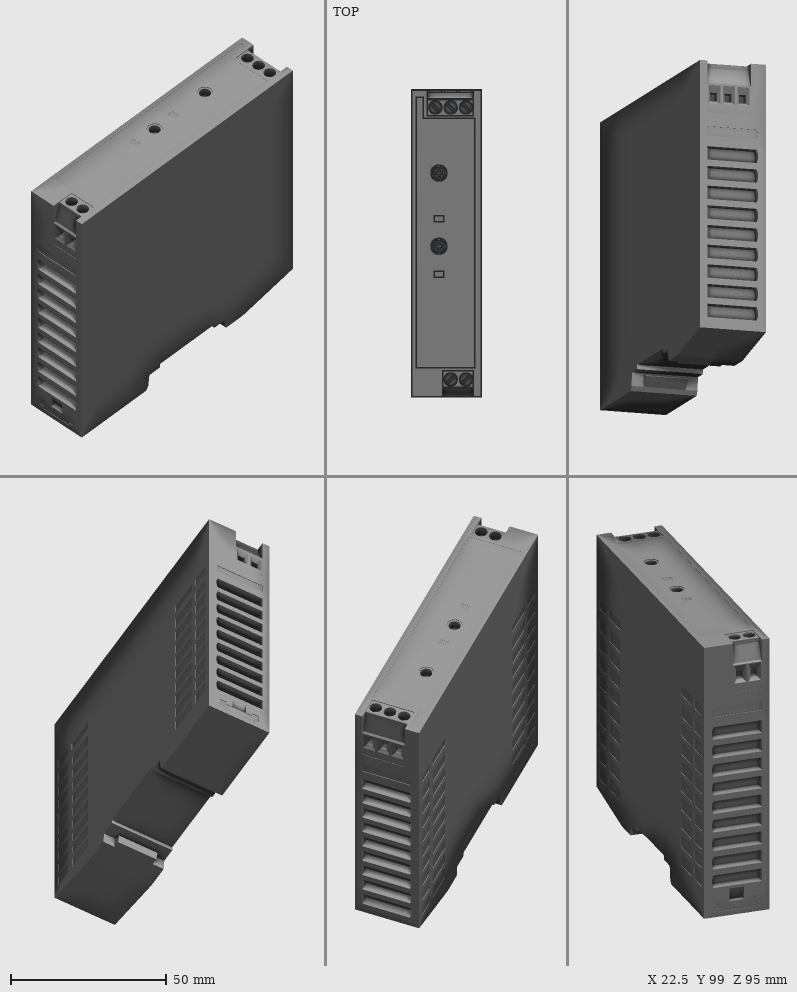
import cadquery as cq

WIDTH = 22.5
LENGTH = 99.0
HEIGHT = 95.0

REAR_CORNER_Z = 6.7
REAR_FOOT_Z = 2.1
REAR_FOOT_START_Y = 75.6
REAR_LIP_FOOT_Y = 67.7
REAR_LIP_Y = 67.3
RAIL_Z = 5.9
RAIL_TOP_Z = 7.4
RAIL_TOP_REAR_Y = 62.2
RAIL_TOP_FRONT_Y = 36.7
FRONT_LIP_Y = 31.7
FRONT_LIP_FOOT_Y = 31.2
FRONT_LIP_FOOT_Z = 1.5
FRONT_FOOT_Y = 30.3

SLIDER_WIDTH = 14.3
SLIDER_BODY_WIDTH = 11.2
SLIDER_EAR_WIDTH = 2.4
SLIDER_RECESS = 0.2
SLIDER_BOTTOM_Z = 1.7
SLIDER_EAR_BOTTOM_Z = 2.8
SLIDER_TOP_Z = 4.8
SLIDER_EAR_TOP_Z = 5.9
RELEASE_WIDTH = 5.1
RELEASE_TOP_Z = 9.3
RELEASE_DEPTH = 2.0
HOOK_TIP_Z = 4.5
HOOK_ROOT_Z = 5.5

SLOT_LEFT_X = 3.2
SLOT_RIGHT_X = 19.9
SLOT_BULGE = 0.5
SLOT_HEIGHT = 4.4
SLOT_DEPTH = 3.2
SLOT_PITCH = 6.5
SLOT_COUNT = 9
LOWEST_SLOT_Z = 10.3
BLIND_SLOT_Z = 70.2
BLIND_SLOT_HEIGHT = 3.1
BLIND_DEPTH = 0.2
SIDE_OUTER_START = 2.6
SIDE_OUTER_END = 8.75
SIDE_INNER_START = 11.4
SIDE_INNER_END = 21.5
BLIND_INNER_START = 11.0

POLE_PITCH = 4.95
TERMINAL_RIGHT_X = 19.9
POLE_MARGIN = 2.35
FRONT_POLES = 2
REAR_POLES = 3
TERMINAL_DEPTH = 8.4
TERMINAL_DROP = 17.2
BLOCK_DROP = 0.3
BLOCK_TOP_DEPTH = 3.1
BLOCK_SHOULDER_DEPTH = 2.8
BLOCK_CHAMFER_DROP = 0.4
BLOCK_SHOULDER_DROP = 1.9
BLOCK_SLOPE_DEPTH = 0.8
BLOCK_LEDGE_DROP = 7.3
BLOCK_FACE_DROP = 7.7
BLOCK_FACE_DEPTH = 0.1
SCREW_DEPTH_FROM_END = 5.65
SCREW_DIAMETER = 4.1
SCREW_DROP = 4.0
SCREW_SLOT_WIDTH = 0.8
SCREW_SLOT_DEPTH = 0.6
SCREW_SLOT_ANGLE = 45
WIRE_MOUTH_WIDTH = 4.2
WIRE_MOUTH_TOP_DROP = 8.0
WIRE_MOUTH_BOTTOM_DROP = 14.1
WIRE_THROAT_WIDTH = 2.3
WIRE_THROAT_TOP_DROP = 10.3
WIRE_THROAT_BOTTOM_DROP = 13.1
WIRE_FUNNEL_DEPTH = 1.0
WIRE_THROAT_DEPTH = 2.5

LABEL_LEFT_X = 1.5
LABEL_RIGHT_X = 20.3
LABEL_FRONT_Y = 9.4
LABEL_REAR_Y = 96.7
LABEL_NOTCH_X = 3.8
LABEL_NOTCH_Y = 89.8
LABEL_DEPTH = 0.1
CONTROL_X = 8.8
INDICATOR_LENGTH = 3.1
INDICATOR_WIDTH = 2.0
INDICATOR_DEPTH = 0.1
INDICATOR_YS = (39.6, 57.5)
TRIMMER_YS = (48.6, 72.2)
TRIMMER_RIM_DIAMETER = 5.1
TRIMMER_RIM_DEPTH = 0.4
TRIMMER_BORE_DIAMETER = 3.9
TRIMMER_BORE_DEPTH = 3.5
TRIMMER_CROSS_LENGTH = 2.3
TRIMMER_CROSS_WIDTH = 0.9
TRIMMER_CROSS_DEPTH = 0.6


def block(x0, x1, y0, y1, z0, z1):
    """Box between two opposite corners."""
    return cq.Workplane("XY").box(x1 - x0, y1 - y0, z1 - z0, centered=False).translate((x0, y0, z0))


def side_profile(points, x0, x1):
    """Prism along X with an outline of (y, z) points."""
    return cq.Workplane("YZ").polyline(points).close().extrude(x1 - x0).translate((x0, 0, 0))


def at_rear(shape):
    """Mirror a front end feature to the rear end."""
    return shape.mirror("XZ").translate((0, LENGTH, 0))


def make_housing():
    outline = [
        (0, 0),
        (0, HEIGHT),
        (LENGTH, HEIGHT),
        (LENGTH, REAR_CORNER_Z),
        (REAR_FOOT_START_Y, REAR_FOOT_Z),
        (REAR_LIP_FOOT_Y, REAR_FOOT_Z),
        (REAR_LIP_Y, RAIL_Z),
        (RAIL_TOP_REAR_Y, RAIL_Z),
        (RAIL_TOP_REAR_Y, RAIL_TOP_Z),
        (RAIL_TOP_FRONT_Y, RAIL_TOP_Z),
        (RAIL_TOP_FRONT_Y, RAIL_Z),
        (FRONT_LIP_Y, RAIL_Z),
        (FRONT_LIP_FOOT_Y, FRONT_LIP_FOOT_Z),
        (FRONT_FOOT_Y, 0),
    ]
    return side_profile(outline, 0, WIDTH)


def make_hooks():
    """Two hooks, as wide as the slider, that reach under the rail flanges."""
    x0 = (WIDTH - SLIDER_WIDTH) / 2
    x1 = x0 + SLIDER_WIDTH
    rear_tip_y = 64.6
    rear_toe_y = 65.4
    rear_root_z = 5.2
    rear = side_profile(
        [
            (REAR_LIP_Y, rear_root_z),
            (rear_tip_y, HOOK_TIP_Z),
            (rear_toe_y, REAR_FOOT_Z),
            (REAR_FOOT_START_Y, REAR_FOOT_Z),
        ],
        x0,
        x1,
    )
    front_tip_y = 34.0
    front = side_profile(
        [
            (FRONT_LIP_Y, HOOK_ROOT_Z),
            (front_tip_y, HOOK_TIP_Z),
            (FRONT_LIP_FOOT_Y, FRONT_LIP_FOOT_Z),
            (FRONT_FOOT_Y, FRONT_LIP_FOOT_Z),
        ],
        x0,
        x1,
    )
    return rear.union(front)


def make_slider_recess():
    """Shallow recess around the slider and the wedge-shaped release pocket above it."""
    middle = WIDTH / 2

    def centred(width, depth, z0, z1):
        return block(middle - width / 2, middle + width / 2, 0, depth, z0, z1)

    recess = centred(SLIDER_BODY_WIDTH, SLIDER_RECESS, SLIDER_BOTTOM_Z, SLIDER_TOP_Z)
    recess = recess.union(centred(SLIDER_WIDTH, SLIDER_RECESS, SLIDER_EAR_BOTTOM_Z, SLIDER_EAR_TOP_Z))
    gap_width = SLIDER_WIDTH - 2 * SLIDER_EAR_WIDTH
    recess = recess.cut(centred(gap_width, SLIDER_RECESS, SLIDER_TOP_Z, SLIDER_EAR_TOP_Z))
    pocket = side_profile(
        [(0, RELEASE_TOP_Z), (0, SLIDER_TOP_Z), (RELEASE_DEPTH, SLIDER_TOP_Z)],
        middle - RELEASE_WIDTH / 2,
        middle + RELEASE_WIDTH / 2,
    )
    return recess.union(pocket)


def make_end_slot(z0, height, depth):
    """Slot in the front wall whose left end is bowed outwards."""
    return (
        cq.Workplane("XZ")
        .moveTo(SLOT_LEFT_X, z0)
        .lineTo(SLOT_RIGHT_X, z0)
        .lineTo(SLOT_RIGHT_X, z0 + height)
        .lineTo(SLOT_LEFT_X, z0 + height)
        .threePointArc((SLOT_LEFT_X - SLOT_BULGE, z0 + height / 2), (SLOT_LEFT_X, z0))
        .close()
        .extrude(-depth)
    )


def make_front_vents():
    """End wall slots and the blind side panels next to the front end."""
    vents = make_end_slot(BLIND_SLOT_Z, BLIND_SLOT_HEIGHT, BLIND_DEPTH)
    rows = [(BLIND_SLOT_Z, BLIND_SLOT_HEIGHT, BLIND_INNER_START)]
    for index in range(SLOT_COUNT):
        z0 = LOWEST_SLOT_Z + index * SLOT_PITCH
        vents = vents.union(make_end_slot(z0, SLOT_HEIGHT, SLOT_DEPTH))
        rows.append((z0, SLOT_HEIGHT, SIDE_INNER_START))
    for z0, height, inner_start in rows:
        z1 = z0 + height
        vents = vents.union(block(0, BLIND_DEPTH, SIDE_OUTER_START, SIDE_OUTER_END, z0, z1))
        vents = vents.union(block(0, BLIND_DEPTH, inner_start, SIDE_INNER_END, z0, z1))
    return vents


def make_wire_funnel(x):
    """Wire entry that narrows from its mouth to a rectangular throat."""
    mouth_height = WIRE_MOUTH_BOTTOM_DROP - WIRE_MOUTH_TOP_DROP
    throat_height = WIRE_THROAT_BOTTOM_DROP - WIRE_THROAT_TOP_DROP
    mouth_z = HEIGHT - (WIRE_MOUTH_TOP_DROP + WIRE_MOUTH_BOTTOM_DROP) / 2
    throat_z = HEIGHT - (WIRE_THROAT_TOP_DROP + WIRE_THROAT_BOTTOM_DROP) / 2
    funnel = (
        cq.Workplane("XZ", origin=(x, BLOCK_FACE_DEPTH, mouth_z))
        .rect(WIRE_MOUTH_WIDTH, mouth_height)
        .workplane(offset=-WIRE_FUNNEL_DEPTH)
        .center(0, throat_z - mouth_z)
        .rect(WIRE_THROAT_WIDTH, throat_height)
        .loft(ruled=True)
    )
    throat = (
        cq.Workplane("XZ", origin=(x, BLOCK_FACE_DEPTH + WIRE_FUNNEL_DEPTH, throat_z))
        .rect(WIRE_THROAT_WIDTH, throat_height)
        .extrude(-WIRE_THROAT_DEPTH)
    )
    return funnel.union(throat)


def make_screw_well(x):
    """Round well with a slotted screw head at its bottom."""
    head_z = HEIGHT - SCREW_DROP
    centre = (x, SCREW_DEPTH_FROM_END, head_z)
    well = cq.Workplane("XY", origin=centre).circle(SCREW_DIAMETER / 2).extrude(SCREW_DROP)
    slot = (
        cq.Workplane("XY")
        .box(SCREW_DIAMETER, SCREW_SLOT_WIDTH, SCREW_SLOT_DEPTH, centered=(True, True, False))
        .rotate((0, 0, 0), (0, 0, 1), SCREW_SLOT_ANGLE)
        .translate((x, SCREW_DEPTH_FROM_END, head_z - SCREW_SLOT_DEPTH))
    )
    disc = cq.Workplane("XY", origin=centre).circle(SCREW_DIAMETER / 2).extrude(-SCREW_SLOT_DEPTH)
    return well.union(slot.intersect(disc))


def make_terminal_cut(poles):
    """Everything removed around and inside a front terminal block."""
    x0 = TERMINAL_RIGHT_X - poles * POLE_PITCH
    cut = side_profile(
        [
            (0, HEIGHT),
            (TERMINAL_DEPTH, HEIGHT),
            (TERMINAL_DEPTH, HEIGHT - BLOCK_DROP),
            (BLOCK_TOP_DEPTH, HEIGHT - BLOCK_DROP),
            (BLOCK_SHOULDER_DEPTH, HEIGHT - BLOCK_CHAMFER_DROP),
            (BLOCK_SHOULDER_DEPTH, HEIGHT - BLOCK_SHOULDER_DROP),
            (BLOCK_SLOPE_DEPTH, HEIGHT - BLOCK_LEDGE_DROP),
            (BLOCK_FACE_DEPTH, HEIGHT - BLOCK_FACE_DROP),
            (BLOCK_FACE_DEPTH, HEIGHT - TERMINAL_DROP),
            (0, HEIGHT - TERMINAL_DROP),
        ],
        x0,
        TERMINAL_RIGHT_X,
    )
    for pole in range(poles):
        x = TERMINAL_RIGHT_X - POLE_MARGIN - pole * POLE_PITCH
        cut = cut.union(make_screw_well(x)).union(make_wire_funnel(x))
    return cut


def make_label_recess():
    outline = [
        (LABEL_LEFT_X, LABEL_FRONT_Y),
        (LABEL_RIGHT_X, LABEL_FRONT_Y),
        (LABEL_RIGHT_X, LABEL_NOTCH_Y),
        (LABEL_NOTCH_X, LABEL_NOTCH_Y),
        (LABEL_NOTCH_X, LABEL_REAR_Y),
        (LABEL_LEFT_X, LABEL_REAR_Y),
    ]
    return cq.Workplane("XY", origin=(0, 0, HEIGHT)).polyline(outline).close().extrude(-LABEL_DEPTH)


def make_indicator(y):
    floor_z = HEIGHT - LABEL_DEPTH - INDICATOR_DEPTH
    return (
        cq.Workplane("XY", origin=(CONTROL_X, y, floor_z))
        .rect(INDICATOR_LENGTH, INDICATOR_WIDTH)
        .extrude(LABEL_DEPTH)
    )


def make_trimmer_cut(y):
    """Stepped round well with a cross recess for a screwdriver in its floor."""
    top = cq.Workplane("XY", origin=(CONTROL_X, y, HEIGHT))
    rim = top.circle(TRIMMER_RIM_DIAMETER / 2).extrude(-TRIMMER_RIM_DEPTH)
    bore = top.circle(TRIMMER_BORE_DIAMETER / 2).extrude(-TRIMMER_BORE_DEPTH)
    cross_depth = TRIMMER_BORE_DEPTH + TRIMMER_CROSS_DEPTH
    arm_x = top.rect(TRIMMER_CROSS_LENGTH, TRIMMER_CROSS_WIDTH).extrude(-cross_depth)
    arm_y = top.rect(TRIMMER_CROSS_WIDTH, TRIMMER_CROSS_LENGTH).extrude(-cross_depth)
    return rim.union(bore).union(arm_x).union(arm_y)


housing = make_housing().union(make_hooks())
housing = housing.cut(make_slider_recess())
front_vents = make_front_vents()
housing = housing.cut(front_vents).cut(at_rear(front_vents))
housing = housing.cut(make_terminal_cut(FRONT_POLES))
housing = housing.cut(at_rear(make_terminal_cut(REAR_POLES)))
housing = housing.cut(make_label_recess())
for indicator_y in INDICATOR_YS:
    housing = housing.cut(make_indicator(indicator_y))
for trimmer_y in TRIMMER_YS:
    housing = housing.cut(make_trimmer_cut(trimmer_y))

result = housing